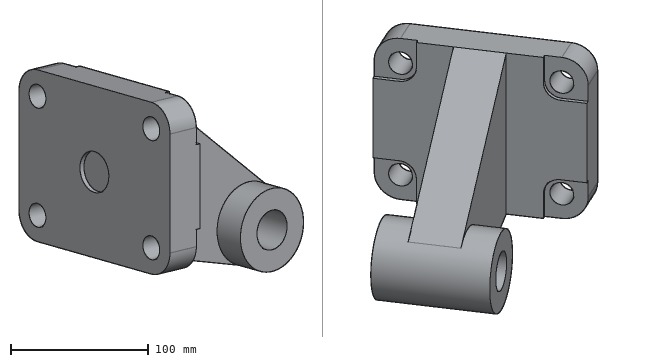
import cadquery as cq
import math

plate_width = 162.0
plate_height = 130.0
plate_thickness = 30.0
corner_radius = 20.0

bolt_diameter = 18.0
bolt_spacing_x = 122.0
bolt_spacing_z = 90.0
relief_radius = 13.0
relief_depth = 3.7

recess_diameter = 31.0
recess_depth = 4.0

overall_depth = 166.5
boss_radius = 31.5
boss_length = 90.0
bore_diameter = 30.0
boss_y = overall_depth - boss_radius
boss_z = 5.0

web_width = 40.0

plate_middle_z = plate_height / 2
bolt_positions = [
    (side_x, side_z) for side_x in (-1, 1) for side_z in (-1, 1)
]


def cylinder_y(x, z, radius, start_y, length):
    """Cylinder along +Y from start_y."""
    return cq.Workplane(
        cq.Solid.makeCylinder(radius, length, cq.Vector(x, start_y, z), cq.Vector(0, 1, 0))
    )


def cylinder_x(radius, length):
    """Cylinder centred on X = 0 along the pivot axis."""
    start = cq.Vector(-length / 2, boss_y, boss_z)
    return cq.Workplane(cq.Solid.makeCylinder(radius, length, start, cq.Vector(1, 0, 0)))


def bolt_relief(side_x, side_z):
    """Corner cut, rounded around the bolt hole and open to both plate edges."""
    inner_x = bolt_spacing_x / 2 - relief_radius
    inner_z = bolt_spacing_z / 2 - relief_radius
    size_x = plate_width / 2 - inner_x
    size_z = plate_height / 2 - inner_z
    return (
        cq.Workplane("XY")
        .box(size_x, relief_depth, size_z)
        .edges("|Y")
        .edges((">" if side_x < 0 else "<") + "X")
        .edges((">" if side_z < 0 else "<") + "Z")
        .fillet(relief_radius)
        .translate((
            side_x * (inner_x + size_x / 2),
            plate_thickness - relief_depth / 2,
            plate_middle_z + side_z * (inner_z + size_z / 2),
        ))
    )


def make_plate():
    plate = (
        cq.Workplane("XY")
        .box(plate_width, plate_thickness, plate_height)
        .edges("|Y")
        .fillet(corner_radius)
        .translate((0, plate_thickness / 2, plate_middle_z))
    )
    for side_x, side_z in bolt_positions:
        x = side_x * bolt_spacing_x / 2
        z = plate_middle_z + side_z * bolt_spacing_z / 2
        plate = plate.cut(cylinder_y(x, z, bolt_diameter / 2, 0, plate_thickness))
        plate = plate.cut(bolt_relief(side_x, side_z))
    return plate.cut(cylinder_y(0, plate_middle_z, recess_diameter / 2, 0, recess_depth))


def tangent_point(z, side):
    """Point where a line from the plate's back face at height z touches the boss.

    side is +1 for the upper tangent and -1 for the lower one.
    """
    dy = plate_thickness - boss_y
    dz = z - boss_z
    direction = math.atan2(dz, dy)
    swing = math.acos(boss_radius / math.hypot(dy, dz))
    angle = direction - side * swing
    return boss_y + boss_radius * math.cos(angle), boss_z + boss_radius * math.sin(angle)


def make_web():
    """Web with straight edges tangent to the boss."""
    return (
        cq.Workplane("YZ")
        .moveTo(plate_thickness, 0)
        .lineTo(plate_thickness, plate_height)
        .lineTo(*tangent_point(plate_height, 1))
        .lineTo(boss_y, boss_z)
        .lineTo(*tangent_point(0, -1))
        .close()
        .extrude(web_width / 2, both=True)
    )


boss = cylinder_x(boss_radius, boss_length)
bore = cylinder_x(bore_diameter / 2, boss_length)
result = make_plate().union(make_web()).union(boss).cut(bore)